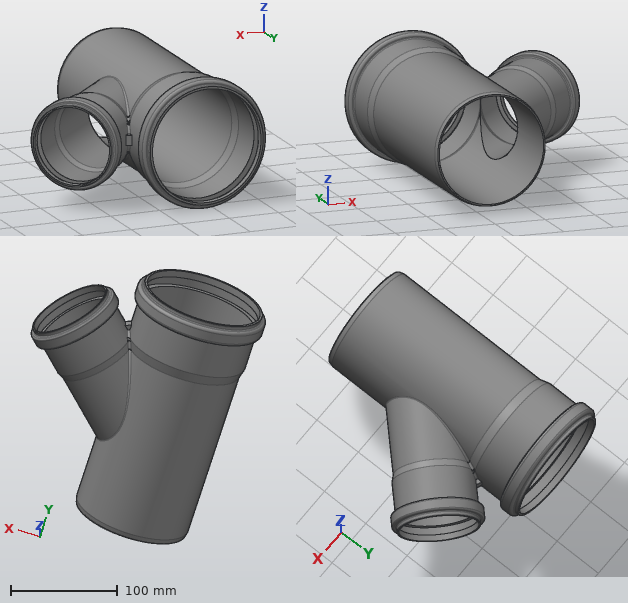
import cadquery as cq
import math

MAIN_LENGTH = 232.5
MAIN_PIPE_OD = 110.0
MAIN_PIPE_ID = 104.6
MAIN_SOCKET_OD = 115.2
MAIN_SOCKET_ID = 110.4
MAIN_LIP_OD = 115.5
MAIN_LIP_ID = 110.7
MAIN_RING_OD = 125.4
MAIN_GROOVE_ID = 120.6
MAIN_FLARE_START = 169.0
MAIN_FLARE_END = 178.5
MAIN_RING_START = 213.5
MAIN_RING_END = 228.2
MAIN_RING_ROUND = 3.0
MAIN_RING_BLEND = 0.9
SPIGOT_CHAMFER_LENGTH = 5.0
SPIGOT_CHAMFER_DEPTH = 1.2

BRANCH_ANGLE = 45.0
BRANCH_ORIGIN_Y = 68.0
BRANCH_LENGTH = 165.55
BRANCH_PIPE_OD = 75.0
BRANCH_PIPE_ID = 71.2
BRANCH_SOCKET_OD = 78.8
BRANCH_SOCKET_ID = 75.4
BRANCH_LIP_OD = 79.1
BRANCH_LIP_ID = 75.7
BRANCH_RING_OD = 87.9
BRANCH_GROOVE_ID = 84.5
BRANCH_FLARE_START = 109.3
BRANCH_FLARE_END = 116.4
BRANCH_RING_START = 149.1
BRANCH_RING_END = 161.2
BRANCH_RING_ROUND = 1.7
BRANCH_RING_BLEND = 0.9

RIM_BEVEL_LENGTH = 0.8

JOINT_FILLET = 1.5
WEB_THICKNESS = 10.0
WEB_REACH = 7.1
WEB_EMBED = 2.0
BRANCH_SOCKET_AT_MAIN_Y = 176.8
FLARE_EXTENSION = 25.0
BEAD_SPLIT_GAP = 0.3


def add_corner(outline, centre, radius, start_angle, end_angle):
    """Draw a line to the start of a round corner and follow the corner (angles in degrees)."""

    def point(angle):
        turn = math.radians(angle)
        return (centre[0] + radius * math.cos(turn), centre[1] + radius * math.sin(turn))

    middle = point((start_angle + end_angle) / 2)
    return outline.lineTo(*point(start_angle)).threePointArc(middle, point(end_angle))


def revolve_outline(outline):
    """Close an (radius, station) outline on the Y axis and turn it about that axis."""
    return outline.close().revolve(360, (0, 0, 0), (0, 1, 0))


def add_socket_outside(outline, pipe_od, socket_od, lip_od, ring_od, stations, ring_round, blend):
    """Continue a pipe's outer outline over the flare, socket, seal ring and lip to the axis."""
    flare_start, flare_end, ring_start, ring_end, rim = stations
    socket_radius = socket_od / 2
    lip_radius = lip_od / 2
    corner_radius = ring_od / 2 - ring_round
    outline = outline.lineTo(pipe_od / 2, flare_start).lineTo(socket_radius, flare_end)
    outline = add_corner(outline, (socket_radius + blend, ring_start - blend), blend, 180, 90)
    outline = add_corner(outline, (corner_radius, ring_start + ring_round), ring_round, -90, 0)
    outline = add_corner(outline, (corner_radius, ring_end - ring_round), ring_round, 0, 90)
    outline = add_corner(outline, (lip_radius + blend, ring_end + blend), blend, 270, 180)
    outline = outline.lineTo(lip_radius, rim - RIM_BEVEL_LENGTH)
    return outline.lineTo(socket_radius, rim).lineTo(0, rim)


def bore(start, pipe_id, socket_id, lip_id, groove_id, wall, stations):
    """The hollow of a pipe: bore, flare, socket, seal groove and mouth."""
    flare_start, flare_end, ring_start, ring_end, rim = stations
    outline = (
        cq.Workplane("XY")
        .moveTo(0, start)
        .lineTo(pipe_id / 2, start)
        .lineTo(pipe_id / 2, flare_start)
        .lineTo(socket_id / 2, flare_end)
        .lineTo(socket_id / 2, ring_start + wall)
        .lineTo(groove_id / 2, ring_start + wall)
        .lineTo(groove_id / 2, ring_end - wall)
        .lineTo(lip_id / 2, ring_end - wall)
        .lineTo(lip_id / 2, rim)
        .lineTo(0, rim)
    )
    return revolve_outline(outline)


def place_on_branch(body):
    """Swing a body built along Y onto the branch axis."""
    swing = BRANCH_ANGLE - 90
    return body.rotate((0, 0, 0), (0, 0, 1), swing).translate((0, BRANCH_ORIGIN_Y, 0))


MAIN_STATIONS = (MAIN_FLARE_START, MAIN_FLARE_END, MAIN_RING_START, MAIN_RING_END, MAIN_LENGTH)
BRANCH_STATIONS = (
    BRANCH_FLARE_START,
    BRANCH_FLARE_END,
    BRANCH_RING_START,
    BRANCH_RING_END,
    BRANCH_LENGTH,
)


def main_outside():
    pipe_radius = MAIN_PIPE_OD / 2
    outline = (
        cq.Workplane("XY")
        .moveTo(0, 0)
        .lineTo(pipe_radius - SPIGOT_CHAMFER_DEPTH, 0)
        .lineTo(pipe_radius, SPIGOT_CHAMFER_LENGTH)
    )
    outline = add_socket_outside(
        outline, MAIN_PIPE_OD, MAIN_SOCKET_OD, MAIN_LIP_OD, MAIN_RING_OD,
        MAIN_STATIONS, MAIN_RING_ROUND, MAIN_RING_BLEND,
    )
    return revolve_outline(outline)


def branch_outside():
    outline = cq.Workplane("XY").moveTo(0, 0).lineTo(BRANCH_PIPE_OD / 2, 0)
    outline = add_socket_outside(
        outline, BRANCH_PIPE_OD, BRANCH_SOCKET_OD, BRANCH_LIP_OD, BRANCH_RING_OD,
        BRANCH_STATIONS, BRANCH_RING_ROUND, BRANCH_RING_BLEND,
    )
    return place_on_branch(revolve_outline(outline))


def barrel(start_diameter, end_diameter, start, end):
    """A solid cylinder or cone on the Y axis."""
    outline = (
        cq.Workplane("XY")
        .moveTo(0, start)
        .lineTo(start_diameter / 2, start)
        .lineTo(end_diameter / 2, end)
        .lineTo(0, end)
    )
    return revolve_outline(outline)


def long_flare(pipe_od, socket_od, start, end):
    """The cone of a flare, drawn out at both ends so that it fully crosses another barrel."""
    growth = (socket_od - pipe_od) / (end - start) * FLARE_EXTENSION
    return barrel(
        pipe_od - growth, socket_od + growth, start - FLARE_EXTENSION, end + FLARE_EXTENSION
    )


def joint_bead(main_part, branch_part, low, high):
    """The fillet between a main barrel and a branch barrel, kept for Y from low to high."""
    placed_branch = place_on_branch(branch_part)
    pair = main_part.union(placed_branch)
    joint_edges = [
        edge
        for edge in pair.edges().vals()
        if edge.geomType() == "BSPLINE" and edge.Center().x > 0
    ]
    filleted = cq.Workplane(pair.val().fillet(JOINT_FILLET, joint_edges))
    band = (
        cq.Workplane("XY")
        .box(MAIN_SOCKET_OD, high - low, MAIN_SOCKET_OD, centered=(False, False, True))
        .translate((0, low, 0))
    )
    return filleted.intersect(band).cut(main_part).cut(placed_branch)


def joint_beads():
    """Fillets all around the joint: pipe on pipe, flare on flare, flare on socket, socket on socket."""
    main_pipe = barrel(MAIN_PIPE_OD, MAIN_PIPE_OD, 0, MAIN_LENGTH)
    main_flare = long_flare(MAIN_PIPE_OD, MAIN_SOCKET_OD, MAIN_FLARE_START, MAIN_FLARE_END)
    main_socket = barrel(MAIN_SOCKET_OD, MAIN_SOCKET_OD, 0, MAIN_LENGTH)
    branch_pipe = barrel(BRANCH_PIPE_OD, BRANCH_PIPE_OD, 0, BRANCH_LENGTH)
    branch_flare = long_flare(
        BRANCH_PIPE_OD, BRANCH_SOCKET_OD, BRANCH_FLARE_START, BRANCH_FLARE_END
    )
    branch_socket = barrel(BRANCH_SOCKET_OD, BRANCH_SOCKET_OD, 0, BRANCH_LENGTH)

    flares_meet = MAIN_FLARE_START + BEAD_SPLIT_GAP
    return [
        joint_bead(main_pipe, branch_pipe, 0, flares_meet),
        joint_bead(main_flare, branch_flare, flares_meet, BRANCH_SOCKET_AT_MAIN_Y),
        joint_bead(main_flare, branch_socket, BRANCH_SOCKET_AT_MAIN_Y, MAIN_FLARE_END),
        joint_bead(main_socket, branch_socket, MAIN_FLARE_END, MAIN_RING_START),
    ]


def crotch_web():
    """Thin triangular web in the narrow crotch between the sockets, cut square to its bisector."""
    slope = math.radians(BRANCH_ANGLE)
    bisector = (slope + math.pi / 2) / 2
    half_angle = (math.pi / 2 - slope) / 2
    crotch_x = MAIN_SOCKET_OD / 2
    crotch_y = (
        BRANCH_ORIGIN_Y + crotch_x * math.tan(slope) + BRANCH_SOCKET_OD / 2 / math.cos(slope)
    )
    length = WEB_EMBED + WEB_REACH * math.cos(half_angle)
    half_width = length * math.tan(half_angle)
    return (
        cq.Workplane("XY")
        .polyline([(-WEB_EMBED, 0), (length - WEB_EMBED, half_width), (length - WEB_EMBED, -half_width)])
        .close()
        .extrude(WEB_THICKNESS / 2, both=True)
        .rotate((0, 0, 0), (0, 0, 1), math.degrees(bisector))
        .translate((crotch_x, crotch_y, 0))
    )


def main_bore():
    wall = (MAIN_RING_OD - MAIN_GROOVE_ID) / 2
    return bore(
        0, MAIN_PIPE_ID, MAIN_SOCKET_ID, MAIN_LIP_ID, MAIN_GROOVE_ID, wall, MAIN_STATIONS
    )


def branch_bore():
    wall = (BRANCH_RING_OD - BRANCH_GROOVE_ID) / 2
    return place_on_branch(
        bore(
            0, BRANCH_PIPE_ID, BRANCH_SOCKET_ID, BRANCH_LIP_ID, BRANCH_GROOVE_ID, wall,
            BRANCH_STATIONS,
        )
    )


fitting = main_outside().union(branch_outside())
for bead in joint_beads():
    fitting = fitting.union(bead)
fitting = fitting.union(crotch_web())
result = fitting.cut(main_bore()).cut(branch_bore())